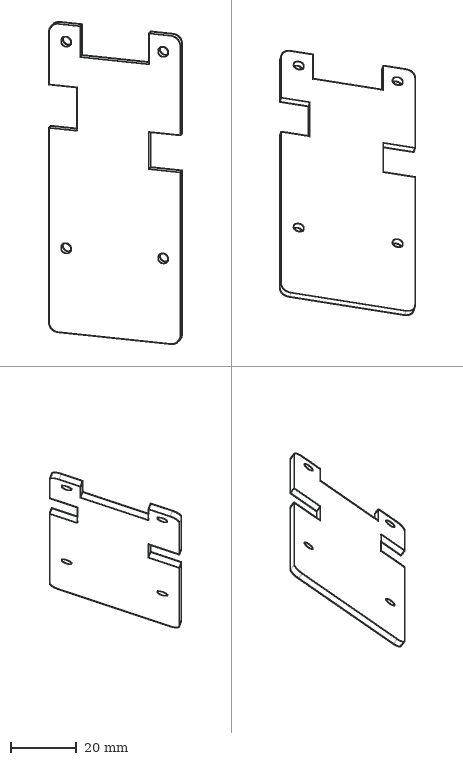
import cadquery as cq

width = 42
thickness = 2
height = 100
corner_radius = 3

top_notch_width = 22
top_notch_depth = 10
left_notch_depth = 9
left_notch_start = 20
left_notch_length = 14
right_notch_depth = 10
right_notch_start = 32
right_notch_length = 12

hole_diameter = 3.2
hole_edge_distance = 5.5
hole_row_spacing = 67


def block(left, top_offset, size_x, size_z):
    """Full-thickness block, placed by its left side and its distance below the top edge."""
    bottom = height - top_offset - size_z
    return cq.Workplane("XY").box(size_x, thickness, size_z, centered=False).translate((left, 0, bottom))


plate = block(0, 0, width, height).edges("|Y").fillet(corner_radius)

top_notch = block((width - top_notch_width) / 2, 0, top_notch_width, top_notch_depth)
left_notch = block(0, left_notch_start, left_notch_depth, left_notch_length)
right_notch = block(width - right_notch_depth, right_notch_start, right_notch_depth, right_notch_length)
for notch in (top_notch, left_notch, right_notch):
    plate = plate.cut(notch)

upper_row = height - hole_edge_distance
hole_centres = [
    (x, z)
    for x in (hole_edge_distance, width - hole_edge_distance)
    for z in (upper_row, upper_row - hole_row_spacing)
]
holes = cq.Workplane("XZ").pushPoints(hole_centres).circle(hole_diameter / 2).extrude(-thickness)

result = plate.cut(holes)